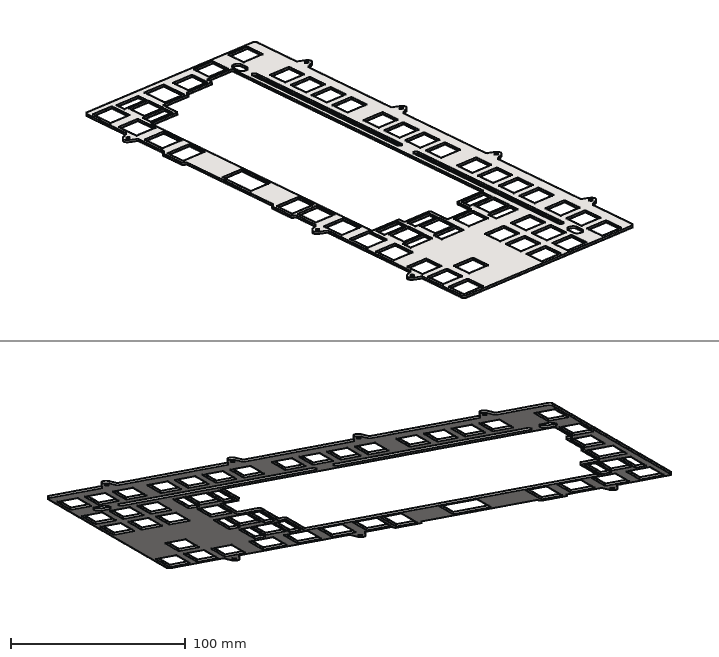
import cadquery as cq
import math

TILT = 5.5
THICKNESS = 1.5
PLATE_WIDTH = 347.14
PLATE_DEPTH = 125.0
CORNER_RADIUS = 1.6
ROOT_RADIUS = 1.0

UNIT = 19.05
ROW_LENGTH = 18.25 * UNIT
GRID_SHIFT = -0.09
SWITCH = 14.05
WALL = 2.0
THIN_WALL = 1.3
FUNCTION_ROW_STEP = 25.45

BOTTOM_ROW = -53.5
SHIFT_ROW = BOTTOM_ROW + UNIT
HOME_ROW = SHIFT_ROW + UNIT
TAB_ROW = HOME_ROW + UNIT
NUMBER_ROW = TAB_ROW + UNIT
FUNCTION_ROW = NUMBER_ROW + FUNCTION_ROW_STEP

NAVIGATION_KEYS = [15.75, 16.75, 17.75]
FUNCTION_KEYS = [0.5] + [2.5, 3.5, 4.5, 5.5] + [7, 8, 9, 10] + [11.5, 12.5, 13.5, 14.5]
GRAVE_KEY = 0.5
BACKSPACE_KEY = 14
TAB_KEY = 0.75
BACKSLASH_KEY = 14.25
CAPS_LOCK_KEYS = (0.625, 0.875)
ENTER_KEY = 13.875
LEFT_SHIFT_KEY = 1.125
RIGHT_SHIFT_KEY = 13.625
UP_KEY = 16.75
LEFT_MODIFIERS = [(0.625, 0.75), (1.875, 2), (3.125, 3.25)]
SPACE_KEYS = (6.875, 7.5)
RIGHT_MODIFIERS = [(10.5, 10.625), (11.75, 11.875), (13, 13.125), (14.25, 14.375)]
SPACE_STABILIZER_CENTER = 7

STABILIZER_OFFSET = 12.04
STABILIZER_WIDTH = 7.3
STABILIZER_ABOVE = 6.8
STABILIZER_BELOW = 9.2
SPACE_STABILIZER_OFFSET = 50.0
SPACE_STABILIZER_WIDTH = 14.3
LUG_SIDE_WALL = 2.5
LUG_HALF_WIDTH = SPACE_STABILIZER_WIDTH / 2 + LUG_SIDE_WALL
LUG_CORNER_RADIUS = 1.0

TAB_PITCH = 86.8
TAB_HOLE_DIAMETER = 2.2
TAB_HOLE_Y = 65.64
TAB_TIP_RADIUS = 3.1
TAB_BASE_HALF_WIDTH = 5.2
UPPER_TABS = [-1.5, -0.5, 0.5, 1.5]
LOWER_TABS = [-1.5, 0.5, 1.5]

SLOT_Y = 35.4
LONG_SLOT_X = 74.0
LONG_SLOT_LENGTH = 136.2
LONG_SLOT_WIDTH = 3.0
OVAL_X = 153.6
OVAL_LENGTH = 11.0
OVAL_WIDTH = 6.0

WINDOW_CORNER_RADIUS = 0.5


def key_x(units):
    """X of a position given in key units from the left end of the grid."""
    return units * UNIT - ROW_LENGTH / 2 + GRID_SHIFT


def block(x_min, x_max, y_min, y_max):
    """Rectangular prism through the plate thickness."""
    return (
        cq.Workplane("XY")
        .center((x_min + x_max) / 2, (y_min + y_max) / 2)
        .rect(x_max - x_min, y_max - y_min)
        .extrude(THICKNESS)
    )


def switch_cutout(first, last, row):
    """Cutout spanning the switch positions from first to last."""
    half = SWITCH / 2
    return block(key_x(first) - half, key_x(last) + half, row - half, row + half)


def stabilizer_cutout(x, row, width):
    return block(x - width / 2, x + width / 2, row - STABILIZER_BELOW, row + STABILIZER_ABOVE)


def switch_cutouts():
    singles = [(key, FUNCTION_ROW) for key in FUNCTION_KEYS]
    for row in (FUNCTION_ROW, NUMBER_ROW, TAB_ROW, BOTTOM_ROW):
        singles += [(key, row) for key in NAVIGATION_KEYS]
    singles += [(GRAVE_KEY, NUMBER_ROW), (BACKSPACE_KEY, NUMBER_ROW)]
    singles += [(TAB_KEY, TAB_ROW), (BACKSLASH_KEY, TAB_ROW)]
    singles += [(ENTER_KEY, HOME_ROW)]
    singles += [(LEFT_SHIFT_KEY, SHIFT_ROW), (RIGHT_SHIFT_KEY, SHIFT_ROW), (UP_KEY, SHIFT_ROW)]
    cutouts = [switch_cutout(key, key, row) for key, row in singles]
    cutouts.append(switch_cutout(*CAPS_LOCK_KEYS, HOME_ROW))
    for pair in LEFT_MODIFIERS + [SPACE_KEYS] + RIGHT_MODIFIERS:
        cutouts.append(switch_cutout(*pair, BOTTOM_ROW))
    return cutouts


def space_stabilizer_positions():
    middle = key_x(SPACE_STABILIZER_CENTER)
    return [middle - SPACE_STABILIZER_OFFSET, middle + SPACE_STABILIZER_OFFSET]


def stabilizer_cutouts():
    cutouts = []
    wide_keys = [
        (BACKSPACE_KEY, NUMBER_ROW),
        (ENTER_KEY, HOME_ROW),
        (LEFT_SHIFT_KEY, SHIFT_ROW),
        (RIGHT_SHIFT_KEY, SHIFT_ROW),
    ]
    for key, row in wide_keys:
        for side in (-1, 1):
            x = key_x(key) + side * STABILIZER_OFFSET
            cutouts.append(stabilizer_cutout(x, row, STABILIZER_WIDTH))
    for x in space_stabilizer_positions():
        cutouts.append(stabilizer_cutout(x, BOTTOM_ROW, SPACE_STABILIZER_WIDTH))
    return cutouts


def window():
    """Large stepped opening, one wall away from the cutouts around it."""
    switch_reach = SWITCH / 2 + WALL
    stabilizer_reach = STABILIZER_OFFSET + STABILIZER_WIDTH / 2 + WALL
    top = NUMBER_ROW + SWITCH / 2 + THIN_WALL
    bottom = BOTTOM_ROW + SWITCH / 2 + THIN_WALL
    tab_top = TAB_ROW + switch_reach
    home_top = HOME_ROW + switch_reach
    shift_top = SHIFT_ROW + switch_reach
    backspace_bottom = NUMBER_ROW - STABILIZER_BELOW - WALL

    number_left = key_x(GRAVE_KEY) + switch_reach
    tab_left = key_x(TAB_KEY) + switch_reach
    home_left = key_x(CAPS_LOCK_KEYS[1]) + switch_reach
    shift_left = key_x(LEFT_SHIFT_KEY) + stabilizer_reach
    number_right = key_x(BACKSPACE_KEY) - stabilizer_reach
    tab_right = key_x(BACKSLASH_KEY) - switch_reach
    home_right = key_x(ENTER_KEY) - stabilizer_reach
    shift_right = key_x(RIGHT_SHIFT_KEY) - stabilizer_reach

    outline = [
        (number_left, top),
        (number_left, tab_top),
        (tab_left, tab_top),
        (tab_left, home_top),
        (home_left, home_top),
        (home_left, shift_top),
        (shift_left, shift_top),
        (shift_left, bottom),
        (shift_right, bottom),
        (shift_right, shift_top),
        (home_right, shift_top),
        (home_right, home_top),
        (tab_right, home_top),
        (tab_right, backspace_bottom),
        (number_right, backspace_bottom),
        (number_right, top),
    ]
    opening = cq.Workplane("XY").polyline(outline).close().extrude(THICKNESS)
    return opening.edges("|Z").fillet(WINDOW_CORNER_RADIUS)


def slots():
    cutouts = []
    for side in (-1, 1):
        for x, length, width in (
            (LONG_SLOT_X, LONG_SLOT_LENGTH, LONG_SLOT_WIDTH),
            (OVAL_X, OVAL_LENGTH, OVAL_WIDTH),
        ):
            slot = cq.Workplane("XY").center(side * x, SLOT_Y).slot2D(length, width)
            cutouts.append(slot.extrude(THICKNESS))
    return cutouts


def tab(x, side):
    """Mounting tab on the upper (side = 1) or lower (side = -1) edge.

    Its straight flanks run from the plate edge and meet the round tip tangentially.
    """
    edge = PLATE_DEPTH / 2
    rise = TAB_HOLE_Y - edge
    base_distance = math.hypot(TAB_BASE_HALF_WIDTH, rise)
    tangent = math.acos(TAB_TIP_RADIUS / base_distance) - math.atan2(rise, TAB_BASE_HALF_WIDTH)
    tangent_x = TAB_TIP_RADIUS * math.cos(tangent)
    tangent_y = TAB_HOLE_Y + TAB_TIP_RADIUS * math.sin(tangent)
    inner = edge - WALL
    return (
        cq.Workplane("XY")
        .moveTo(x - TAB_BASE_HALF_WIDTH, side * inner)
        .lineTo(x - TAB_BASE_HALF_WIDTH, side * edge)
        .lineTo(x - tangent_x, side * tangent_y)
        .threePointArc((x, side * (TAB_HOLE_Y + TAB_TIP_RADIUS)), (x + tangent_x, side * tangent_y))
        .lineTo(x + TAB_BASE_HALF_WIDTH, side * edge)
        .lineTo(x + TAB_BASE_HALF_WIDTH, side * inner)
        .close()
        .extrude(THICKNESS)
    )


def tab_hole(x, side):
    hole = cq.Workplane("XY").center(x, side * TAB_HOLE_Y).circle(TAB_HOLE_DIAMETER / 2)
    return hole.extrude(THICKNESS)


def space_stabilizer_lug(x):
    """Lug on the lower edge that carries the wall below a space bar stabilizer."""
    bottom = BOTTOM_ROW - STABILIZER_BELOW - WALL
    lug = block(x - LUG_HALF_WIDTH, x + LUG_HALF_WIDTH, bottom, BOTTOM_ROW)
    return lug.edges("|Z and <Y").fillet(LUG_CORNER_RADIUS)


def blank():
    """Plate outline with tabs and lugs, before any cutout."""
    body = block(-PLATE_WIDTH / 2, PLATE_WIDTH / 2, -PLATE_DEPTH / 2, PLATE_DEPTH / 2)
    body = body.edges("|Z").fillet(CORNER_RADIUS)
    for x in space_stabilizer_positions():
        body = body.union(space_stabilizer_lug(x))
    for x, side in tab_places():
        body = body.union(tab(x, side))
    return round_roots(body)


def round_roots(body):
    """Round the inner corners where the lugs and tabs leave the plate edge."""
    roots = []
    for x in space_stabilizer_positions():
        roots += [(x - LUG_HALF_WIDTH, -1), (x + LUG_HALF_WIDTH, -1)]
    for x, side in tab_places():
        roots += [(x - TAB_BASE_HALF_WIDTH, side), (x + TAB_BASE_HALF_WIDTH, side)]
    for x, side in roots:
        root = (x, side * PLATE_DEPTH / 2, THICKNESS / 2)
        body = body.edges(cq.selectors.NearestToPointSelector(root)).fillet(ROOT_RADIUS)
    return body


def tab_places():
    places = [(step * TAB_PITCH, 1) for step in UPPER_TABS]
    return places + [(step * TAB_PITCH, -1) for step in LOWER_TABS]


def plate():
    cutouts = switch_cutouts() + stabilizer_cutouts() + slots() + [window()]
    cutouts += [tab_hole(x, side) for x, side in tab_places()]
    tools = [cutout.val() for cutout in cutouts]
    flat = cq.Workplane("XY").newObject([blank().val().cut(*tools)])
    centered = flat.translate((0, 0, -THICKNESS / 2))
    return centered.rotate((0, 0, 0), (1, 0, 0), TILT)


result = plate()